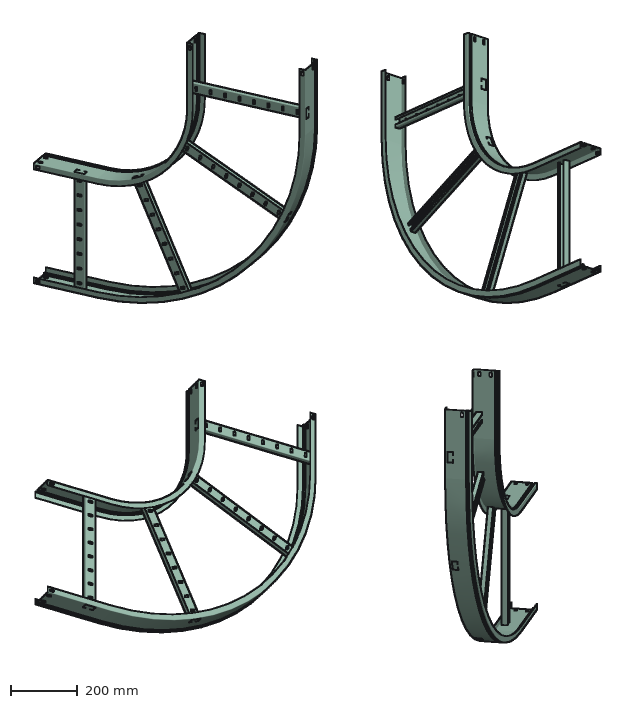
import cadquery as cq
import math


outer_radius = 700.0
tray_width = 400.0
inner_radius = outer_radius - tray_width
leg_length = 216.6
bend_angle = 90

sheet = 1.5
bend_inside = 0.5
bend_outside = bend_inside + sheet
cut_margin = 1.0

rail_height = 80.0
flange_depth = 20.0
groove_y = 69.2
groove_depth = 5.0
groove_half_mouth = 3.75
groove_half_floor = 1.25

joint_slot_length = 14.0
joint_slot_width = 7.5
joint_slot_from_end = 14.0
low_web_slot_y = 17.5
high_web_slot_y = 52.5
flange_slot_from_web = 10.0

rung_width = 35.0
rung_front_y = 7.5
rung_depth = 18.5
rung_back_y = rung_front_y + rung_depth
rung_lip = 10.0
leg_rung_from_end = 150.0
bend_rung_angle = 25

rung_slot_count = 8
rung_slot_pitch = 48.7
first_rung_slot = 27.5
rung_slot_length = 14.5
rung_slot_width = 7.0


def closed_outline(corners):
    """Closed outline through (x, y, radius) corners; a zero radius leaves the corner sharp."""
    path = cq.Workplane("XY")
    for index, (x, y, radius) in enumerate(corners):
        following = corners[(index + 1) % len(corners)]
        corner = cq.Vector(x, y)
        backward = (cq.Vector(*corners[index - 1][:2]) - corner).normalized()
        forward = (cq.Vector(*following[:2]) - corner).normalized()
        half_angle = backward.getAngle(forward) / 2
        setback = radius / math.tan(half_angle)
        arc_start = corner + backward * setback
        path = path.lineTo(arc_start.x, arc_start.y) if index else path.moveTo(arc_start.x, arc_start.y)
        if radius:
            bisector = (backward + forward).normalized()
            arc_middle = corner + bisector * (radius / math.sin(half_angle) - radius)
            arc_end = corner + forward * setback
            path = path.threePointArc((arc_middle.x, arc_middle.y), (arc_end.x, arc_end.y))
    return path.close()


def about_bend(shape, angle):
    """Turn a shape about the bend axis, from the upper leg towards the lower leg."""
    return shape.rotate((0, 0, 0), (0, 1, 0), angle)


def onto_lower_leg(shape, height):
    """Move a shape symmetric about a height on the upper leg to its place on the lower leg."""
    return about_bend(shape, bend_angle).translate((-2 * height, 0, 0))


def along_bend(outline):
    """Carry a section up the upper leg, round the bend and out along the lower leg."""
    section = cq.Workplane("XY").add(cq.Face.makeFromWires(outline.val()))
    upper_leg = section.extrude(leg_length)
    lower_leg = about_bend(section.extrude(-leg_length), bend_angle)
    bend = section.revolve(bend_angle, (0, 0), (0, 1))
    return bend.union(upper_leg, clean=False).union(lower_leg, clean=False)


def rail_outline(web_radius, inward):
    """Channel with a grooved web; inward is the radial sign in which the flanges point."""
    slope_angle = math.atan2(groove_depth, groove_half_mouth - groove_half_floor)
    widening = sheet * math.tan(slope_angle / 2)
    inner_half_mouth = groove_half_mouth + widening
    inner_half_floor = groove_half_floor + widening
    corners = [
        (flange_depth, 0, 0),
        (0, 0, bend_outside),
        (0, groove_y - groove_half_mouth, 0),
        (groove_depth, groove_y - groove_half_floor, 0),
        (groove_depth, groove_y + groove_half_floor, 0),
        (0, groove_y + groove_half_mouth, 0),
        (0, rail_height, bend_outside),
        (flange_depth, rail_height, 0),
        (flange_depth, rail_height - sheet, 0),
        (sheet, rail_height - sheet, bend_inside),
        (sheet, groove_y + inner_half_mouth, 0),
        (groove_depth + sheet, groove_y + inner_half_floor, 0),
        (groove_depth + sheet, groove_y - inner_half_floor, 0),
        (sheet, groove_y - inner_half_mouth, 0),
        (sheet, sheet, bend_inside),
        (flange_depth, sheet, 0),
    ]
    return closed_outline([(web_radius + inward * depth, y, radius) for depth, y, radius in corners])


def joint_slots(web_radius, inward, web_slot_ys):
    """Cutters for the slots at the end of the upper leg, through the web and the -Y flange."""
    slot_z = leg_length - joint_slot_from_end
    web_slots = (
        cq.Workplane("YZ", origin=(web_radius, 0, 0))
        .pushPoints([(y, slot_z) for y in web_slot_ys])
        .slot2D(joint_slot_length, joint_slot_width, 90)
        .extrude(sheet + cut_margin, both=True)
    )
    flange_slot = (
        cq.Workplane("XZ")
        .center(web_radius + inward * flange_slot_from_web, slot_z)
        .slot2D(joint_slot_length, joint_slot_width, 90)
        .extrude(sheet + cut_margin, both=True)
    )
    return web_slots.union(flange_slot)


def rail(web_radius, inward, upper_web_slot_ys, lower_web_slot_ys):
    slot_z = leg_length - joint_slot_from_end
    upper_slots = joint_slots(web_radius, inward, upper_web_slot_ys)
    lower_slots = onto_lower_leg(joint_slots(web_radius, inward, lower_web_slot_ys), slot_z)
    body = along_bend(rail_outline(web_radius, inward))
    return body.cut(upper_slots, clean=False).cut(lower_slots, clean=False)


def inner_rail():
    web_slot_ys = [low_web_slot_y, high_web_slot_y]
    return rail(inner_radius, 1, web_slot_ys, web_slot_ys)


def outer_rail():
    """The upper leg of this rail has only the high slot in its web."""
    return rail(outer_radius, -1, [high_web_slot_y], [low_web_slot_y, high_web_slot_y])


def space_between_webs():
    inside = inner_radius + sheet
    outside = outer_radius - sheet
    corners = [(inside, 0, 0), (outside, 0, 0), (outside, rail_height, 0), (inside, rail_height, 0)]
    return along_bend(closed_outline(corners))


def rung_outline():
    """Channel with its web towards -Y and a lip turned in at the back of each side."""
    side = rung_width / 2
    lip_end = side - rung_lip
    inner_side = side - sheet
    inner_front_y = rung_front_y + sheet
    inner_back_y = rung_back_y - sheet
    corners = [
        (-side, rung_front_y, bend_outside),
        (side, rung_front_y, bend_outside),
        (side, rung_back_y, bend_outside),
        (lip_end, rung_back_y, 0),
        (lip_end, inner_back_y, 0),
        (inner_side, inner_back_y, bend_inside),
        (inner_side, inner_front_y, bend_inside),
        (-inner_side, inner_front_y, bend_inside),
        (-inner_side, inner_back_y, bend_inside),
        (-lip_end, inner_back_y, 0),
        (-lip_end, rung_back_y, 0),
        (-side, rung_back_y, bend_outside),
    ]
    return closed_outline(corners)


def untrimmed_rung():
    """Rung along +X from the bend axis to the outer radius, slotted between the rails."""
    body = about_bend(rung_outline().extrude(outer_radius), 90)
    slot_centres = [
        (inner_radius + first_rung_slot + index * rung_slot_pitch, 0)
        for index in range(rung_slot_count)
    ]
    slots = (
        cq.Workplane("XZ", origin=(0, rung_front_y, 0))
        .pushPoints(slot_centres)
        .slot2D(rung_slot_length, rung_slot_width, 90)
        .extrude(sheet + cut_margin, both=True)
    )
    return body.cut(slots)


def rungs():
    """One rung across each leg and two across the bend, trimmed to meet both webs."""
    leg_rung_offset = leg_length - leg_rung_from_end
    rung = untrimmed_rung()
    upper_rung = rung.translate((0, 0, leg_rung_offset))
    placed = [upper_rung, onto_lower_leg(upper_rung, leg_rung_offset)]
    for angle in (bend_rung_angle, bend_angle - bend_rung_angle):
        placed.append(about_bend(rung, angle))
    space = space_between_webs()
    return [each.intersect(space) for each in placed]


result = cq.Compound.makeCompound(
    [inner_rail().val(), outer_rail().val(), *[each.val() for each in rungs()]]
)